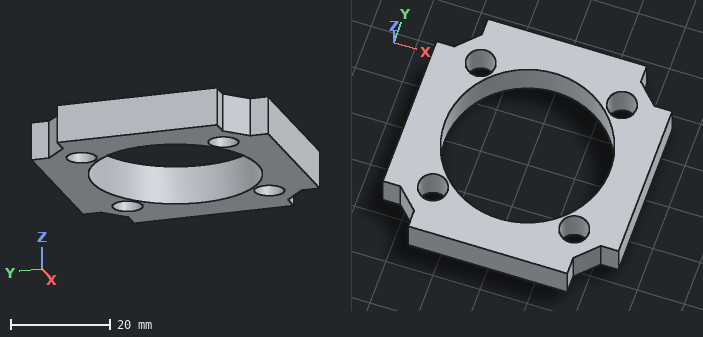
import cadquery as cq

plate_width = 50.1
plate_thickness = 8.0
side_flat_length = 33.8
corner_flat_distance = 54.0
bore_diameter = 35.0
screw_hole_diameter = 6.1
screw_hole_spacing = 30.0


def make_cross(width, arm_width, thickness):
    """Plate with a square notch taken out of each corner."""
    arm_along_x = cq.Workplane("XY").rect(width, arm_width).extrude(thickness)
    arm_along_y = cq.Workplane("XY").rect(arm_width, width).extrude(thickness)
    return arm_along_x.union(arm_along_y)


def make_diagonal_core(flat_distance, thickness):
    """Square turned by 45 degrees that leaves a slanted face in each notch."""
    core = cq.Workplane("XY").rect(flat_distance, flat_distance).extrude(thickness)
    return core.rotate((0, 0, 0), (0, 0, 1), 45)


def make_body():
    """Cross-shaped plate whose notches are filled up to the slanted faces."""
    square = cq.Workplane("XY").rect(plate_width, plate_width).extrude(plate_thickness)
    corner_fill = make_diagonal_core(corner_flat_distance, plate_thickness).intersect(square)
    return make_cross(plate_width, side_flat_length, plate_thickness).union(corner_fill)


def cut_holes(body):
    """Central bore and four screw holes, all through the plate."""
    top = body.faces(">Z").workplane(origin=(0, 0, plate_thickness))
    bored = top.hole(bore_diameter)
    return (
        bored.faces(">Z")
        .workplane(origin=(0, 0, plate_thickness))
        .rect(screw_hole_spacing, screw_hole_spacing, forConstruction=True)
        .vertices()
        .hole(screw_hole_diameter)
    )


result = cut_holes(make_body()).clean()